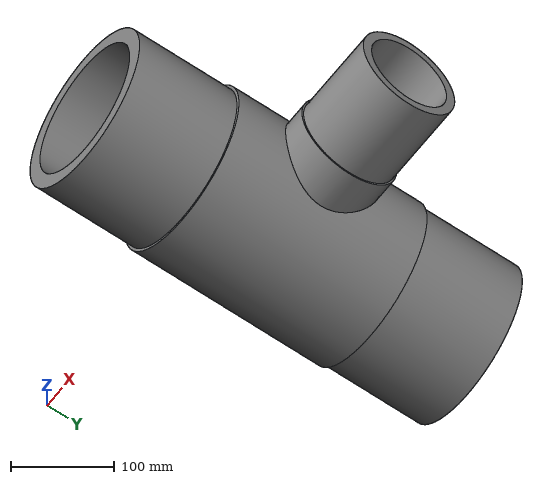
import cadquery as cq

run_length = 460.0
run_diameter = 180.0
run_bore = 147.2

sleeve_length = 226.0
sleeve_diameter = 186.56

branch_reach = 218.0
branch_diameter = 110.0
branch_bore = 90.0

collar_reach = 120.0
collar_diameter = 114.0


def run_cylinder(diameter, length):
    """Cylinder along Y, centred on the origin."""
    return cq.Workplane("XZ").circle(diameter / 2).extrude(length / 2, both=True)


def branch_cylinder(diameter, reach):
    """Cylinder from the origin out to X = reach."""
    return cq.Workplane("YZ").circle(diameter / 2).extrude(reach)


def tee_body():
    """Solid outside shape of the tee, before boring."""
    run = run_cylinder(run_diameter, run_length)
    sleeve = run_cylinder(sleeve_diameter, sleeve_length)
    collar = branch_cylinder(collar_diameter, collar_reach)
    branch = branch_cylinder(branch_diameter, branch_reach)
    return run.union(sleeve).union(collar).union(branch)


def tee_bores():
    """Through bore of the main pipe joined to the bore of the branch."""
    return run_cylinder(run_bore, run_length).union(branch_cylinder(branch_bore, branch_reach))


result = tee_body().cut(tee_bores())